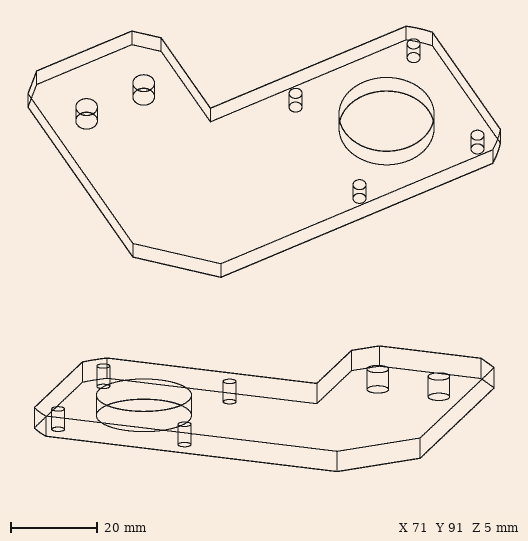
import cadquery as cq
import math

width = 71.0
length = 91.0
thickness = 5.0

head_width = 42.0
head_corner_radius = 26.75
motor_bore_diameter = 22.0
motor_screw_diameter = 3.0
motor_screw_spacing = 31.0

arm_height = 35.0
arm_chamfer = 5.0
heel_chamfer = 15.0
arm_hole_diameter = 5.0
arm_hole_spacing = 15.0
arm_hole_inset = 15.0

head_half = head_width / 2
head_left = width - head_width
motor_x = width - head_half
motor_y = length - head_half
corner_reach = math.sqrt(head_corner_radius**2 - head_half**2)
corner_diagonal = head_corner_radius / math.sqrt(2)


def make_plate():
    """L-shaped plate with chamfered arm and rounded head corners."""
    return (
        cq.Workplane("XY")
        .moveTo(arm_chamfer, 0)
        .lineTo(width - heel_chamfer, 0)
        .lineTo(width, heel_chamfer)
        .lineTo(width, motor_y + corner_reach)
        .threePointArc(
            (motor_x + corner_diagonal, motor_y + corner_diagonal),
            (motor_x + corner_reach, length),
        )
        .lineTo(motor_x - corner_reach, length)
        .threePointArc(
            (motor_x - corner_diagonal, motor_y + corner_diagonal),
            (head_left, motor_y + corner_reach),
        )
        .lineTo(head_left, arm_height)
        .lineTo(arm_chamfer, arm_height)
        .lineTo(0, arm_height - arm_chamfer)
        .lineTo(0, arm_chamfer)
        .close()
        .extrude(thickness)
    )


def cut_motor_mount(plate):
    """Central bore and four screw holes around the motor axis."""
    motor_plane = plate.faces(">Z").workplane(origin=(motor_x, motor_y, thickness))
    plate = motor_plane.hole(motor_bore_diameter)
    screw_plane = plate.faces(">Z").workplane(origin=(motor_x, motor_y, thickness))
    return screw_plane.rarray(motor_screw_spacing, motor_screw_spacing, 2, 2).hole(motor_screw_diameter)


def cut_arm_holes(plate):
    """Two mounting holes centred on the height of the arm."""
    arm_plane = plate.faces(">Z").workplane(origin=(arm_hole_inset, arm_height / 2, thickness))
    hole_offset = arm_hole_spacing / 2
    return arm_plane.pushPoints([(0, -hole_offset), (0, hole_offset)]).hole(arm_hole_diameter)


result = cut_arm_holes(cut_motor_mount(make_plate()))